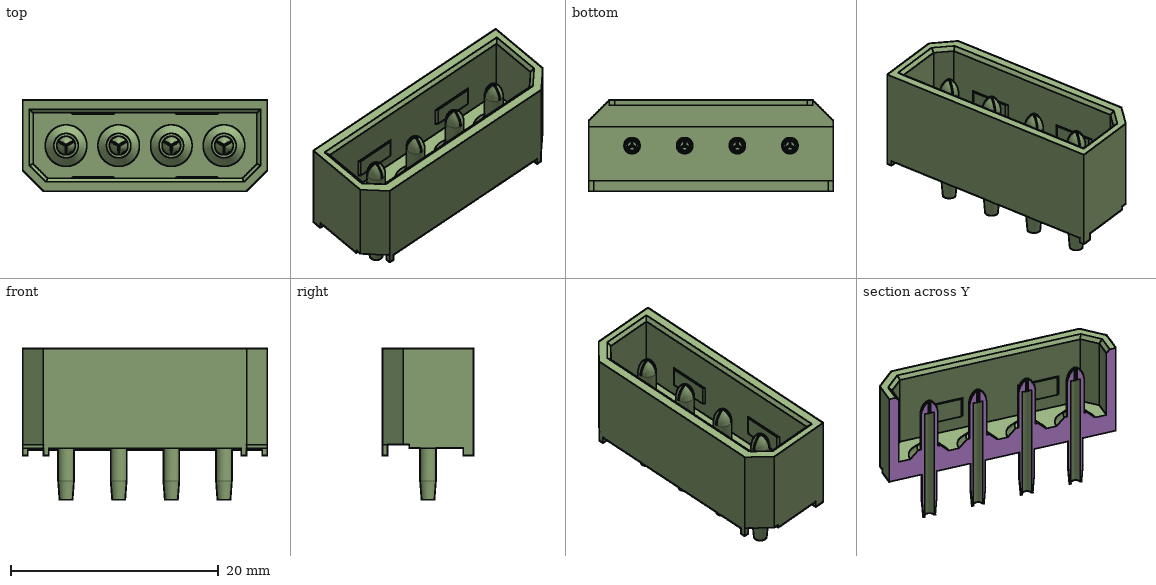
import cadquery as cq
import math


LENGTH = 23.6
DEPTH = 8.8
TOTAL_HEIGHT = 14.6
RIM_Z = 10.34
BASE_Z = 0.7
CORNER_LEG = 2.0

FLOOR_Z = 2.83
END_WALL = 1.01
SIDE_WALL = 1.25
CAVITY_CORNER_LEG = 1.4
LEAD_IN = 0.35

FOOT_WIDTH = 0.52
REAR_FOOT_DEPTH = 1.01
FRONT_FOOT_DEPTH = 0.52
REAR_SKIRT_Z = 0.52
RELIEF_Z = 1.06
RELIEF_DEPTH = 2.57

PAD_LENGTH = 4.25
PAD_PITCH = 10.0
PAD_THICKNESS = 0.15
PAD_END_SLOPE = 0.21
PAD_BOTTOM_Z = 4.25
PAD_TOP_Z = 6.28

PIN_COUNT = 4
PIN_PITCH = 5.07
BOSS_BASE_RADIUS = 2.0
BOSS_TOP_RADIUS = 1.18
BOSS_HEIGHT = 0.83
CONTACT_RADIUS = 0.9
NOSE_Z = 7.62
NOSE_HEIGHT = 1.53
NOSE_BULGE = 0.2
TAIL_RADIUS = 0.78
TAIL_TAPER_Z = -2.4
TAIL_END_Z = RIM_Z - TOTAL_HEIGHT
TAIL_END_RADIUS = 0.64
BORE_RADIUS = 0.47
SLOT_COUNT = 3
SLOT_WIDTH = 0.12
FIRST_SLOT_ANGLE = 30.0


def block(x_min, x_max, y_min, y_max, z_min, z_max):
    size = (x_max - x_min, y_max - y_min, z_max - z_min)
    return cq.Workplane().box(*size, centered=False).translate((x_min, y_min, z_min))


def keyed_prism(end_inset, side_inset, corner_leg, z_min, z_max):
    """Rectangle inset from the housing sides, with both front corners bevelled."""
    prism = block(end_inset, LENGTH - end_inset, side_inset, DEPTH - side_inset, z_min, z_max)
    return prism.edges("|Z and <Y").chamfer(corner_leg)


def make_housing():
    cavity = keyed_prism(END_WALL, SIDE_WALL, CAVITY_CORNER_LEG, FLOOR_Z, RIM_Z)
    housing = keyed_prism(0, 0, CORNER_LEG, BASE_Z, RIM_Z).cut(cavity)
    mouth = housing.faces(">Z").val().innerWires()[0]
    housing = housing.newObject(mouth.Edges()).chamfer(LEAD_IN)

    housing = housing.union(block(0, LENGTH, DEPTH - REAR_FOOT_DEPTH, DEPTH, REAR_SKIRT_Z, BASE_Z))
    housing = housing.cut(block(0, LENGTH, 0, RELIEF_DEPTH, BASE_Z, RELIEF_Z))
    front_lip = block(CORNER_LEG, LENGTH - CORNER_LEG, 0, FRONT_FOOT_DEPTH, BASE_Z, RELIEF_Z)
    housing = housing.union(front_lip)

    for x in (0, LENGTH - FOOT_WIDTH):
        housing = housing.union(block(x, x + FOOT_WIDTH, DEPTH - REAR_FOOT_DEPTH, DEPTH, 0, BASE_Z))
    for x in (CORNER_LEG, LENGTH - CORNER_LEG - FOOT_WIDTH):
        housing = housing.union(block(x, x + FOOT_WIDTH, 0, FRONT_FOOT_DEPTH, 0, BASE_Z))
    return housing


def make_pad():
    """Pad with sloping ends, lying against Y = 0 and facing +Y."""
    outline = [
        (-PAD_LENGTH / 2, 0),
        (PAD_LENGTH / 2, 0),
        (PAD_LENGTH / 2 - PAD_END_SLOPE, PAD_THICKNESS),
        (-PAD_LENGTH / 2 + PAD_END_SLOPE, PAD_THICKNESS),
    ]
    pad = cq.Workplane().polyline(outline).close().extrude(PAD_TOP_Z - PAD_BOTTOM_Z)
    return pad.translate((0, 0, PAD_BOTTOM_Z))


def make_boss():
    boss = cq.Solid.makeCone(BOSS_BASE_RADIUS, BOSS_TOP_RADIUS, BOSS_HEIGHT)
    return cq.Workplane(boss).translate((0, 0, FLOOR_Z))


def make_pin():
    chord = math.hypot(CONTACT_RADIUS, NOSE_HEIGHT)
    arc_mid = (
        CONTACT_RADIUS / 2 + NOSE_BULGE * NOSE_HEIGHT / chord,
        NOSE_Z + NOSE_HEIGHT / 2 + NOSE_BULGE * CONTACT_RADIUS / chord,
    )
    pin = (
        cq.Workplane("XZ")
        .moveTo(0, TAIL_END_Z)
        .lineTo(TAIL_END_RADIUS, TAIL_END_Z)
        .lineTo(TAIL_RADIUS, TAIL_TAPER_Z)
        .lineTo(TAIL_RADIUS, FLOOR_Z)
        .lineTo(CONTACT_RADIUS, FLOOR_Z)
        .lineTo(CONTACT_RADIUS, NOSE_Z)
        .threePointArc(arc_mid, (0, NOSE_Z + NOSE_HEIGHT))
        .close()
        .revolve(360, (0, 0), (0, 1))
    )
    slot = block(0, CONTACT_RADIUS, -SLOT_WIDTH / 2, SLOT_WIDTH / 2, NOSE_Z, NOSE_Z + NOSE_HEIGHT)
    for index in range(SLOT_COUNT):
        angle = FIRST_SLOT_ANGLE + index * 360 / SLOT_COUNT
        pin = pin.cut(slot.rotate((0, 0, 0), (0, 0, 1), angle))
    return pin


def make_bore():
    """Hollow core of a pin, open at the tail and reaching up to the slotted nose."""
    return cq.Workplane().circle(BORE_RADIUS).extrude(NOSE_Z - TAIL_END_Z).translate((0, 0, TAIL_END_Z))


result = make_housing()

front_pad = make_pad().translate((0, SIDE_WALL, 0))
rear_pad = make_pad().mirror("XZ").translate((0, DEPTH - SIDE_WALL, 0))
for side in (-1, 1):
    place = (LENGTH / 2 + side * PAD_PITCH / 2, 0, 0)
    result = result.union(front_pad.translate(place)).union(rear_pad.translate(place))

boss = make_boss()
pin = make_pin()
bore = make_bore()
for index in range(PIN_COUNT):
    x = LENGTH / 2 + (index - (PIN_COUNT - 1) / 2) * PIN_PITCH
    place = (x, DEPTH / 2, 0)
    result = result.union(boss.translate(place)).union(pin.translate(place)).cut(bore.translate(place))